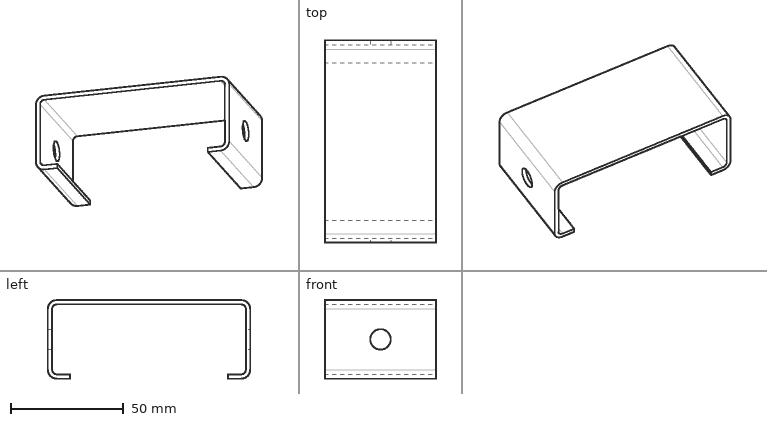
import cadquery as cq

length_x = 49.5
width_y = 90.0
height_z = 35.0

thickness = 2.0
inner_bend_radius = 2.0
outer_bend_radius = inner_bend_radius + thickness

lip_width = 10.0

hole_diameter = 9.0


def rounded_bar(size_y, size_z, corner_radius):
    """Block along X, centred on the origin, with its four long edges rounded."""
    return cq.Workplane("XY").box(length_x, size_y, size_z).edges("|X").fillet(corner_radius)


def make_channel():
    """Bent C-channel: a rounded tube opened at the bottom between the two lips."""
    outside = rounded_bar(width_y, height_z, outer_bend_radius)
    inside = rounded_bar(width_y - 2 * thickness, height_z - 2 * thickness, inner_bend_radius)
    gap = cq.Workplane("XY").box(length_x, width_y - 2 * lip_width, height_z / 2)
    gap = gap.translate((0, 0, -height_z / 4))
    return outside.cut(inside).cut(gap)


def make_wall_hole():
    """Cylinder along Y that pierces both side walls at their centres."""
    return cq.Workplane("XZ").circle(hole_diameter / 2).extrude(width_y / 2, both=True)


result = make_channel().cut(make_wall_hole())